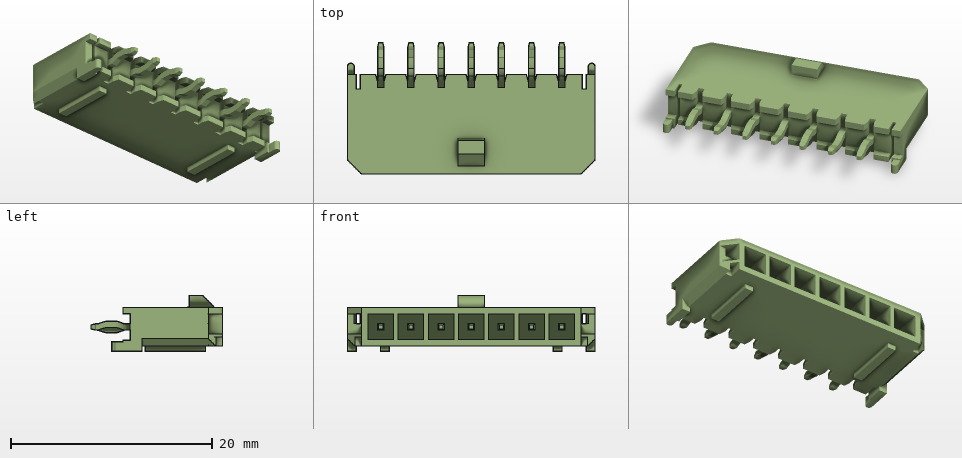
import cadquery as cq


circuit_count = 7
pitch = 3.0
circuit_xs = [(i - (circuit_count - 1) / 2) * pitch for i in range(circuit_count)]

width = 24.65
height = 3.86
half_width = width / 2
wall_rear_y = 9.2
lip_rear_y = 9.92
top_wall = 0.67
bottom_lip = 0.6
cavity_size = 2.55
cavity_depth = 7.8
cavity_center_z = height - top_wall - cavity_size / 2

corner_cut = 1.41
corner_pocket_floor = 1.2
corner_notch_inset = 0.74
corner_notch_height = 0.89
edge_chamfer = 0.74

tunnel_inset = 0.68
tunnel_width = corner_cut - tunnel_inset
tunnel_floor = 2.22
tunnel_height = height - top_wall - tunnel_floor
foot_width = 0.91
rear_slot_width = 0.36
rear_slot_front_y = 8.47

foot_drop = 0.52
foot_front_y = 8.0
post_width = 0.7
post_top_z = 0.45
post_tip_y = 11.03
rail_inset = 3.28
rail_width = 0.91
rail_front_y = 1.69
rail_length = 6.0

latch_width = 2.67
latch_height = 1.19
latch_front_y = 0.79
latch_crest_y = 1.98
latch_rear_y = 3.32
latch_toe_y = 3.53
latch_toe_height = 0.06

pin_size = 0.64
pin_z = 1.9
pin_front_y = 2.0
pin_rear_y = 13.08
pin_tip_size = 0.42
front_tip_length = 0.3
rear_tip_length = 0.46
bow = 0.27
bow_start_y = 9.75
bow_crest_start_y = 10.52
bow_crest_end_y = 11.57
bow_end_y = 12.46

pin_slot_front_y = 8.61
flare_front_y = 9.25
flare_width = 1.03


def box(x, y, z, dx, dy, dz):
    """Box from its lowest corner and its size."""
    return cq.Workplane("XY").box(dx, dy, dz, centered=False).translate((x, y, z))


def both_sides(left_shape):
    """The left-hand shape with its mirror image on the right."""
    return left_shape.union(left_shape.mirror("YZ"))


def side_extrusion(points, length):
    """(Y, Z) outline extruded along X, centred on X = 0."""
    return cq.Workplane("YZ").polyline(points).close().extrude(length / 2, both=True)


def shell():
    profile = [
        (0, 0),
        (lip_rear_y, 0),
        (lip_rear_y, bottom_lip),
        (wall_rear_y, bottom_lip),
        (wall_rear_y, height - top_wall),
        (lip_rear_y, height - top_wall),
        (lip_rear_y, height),
        (0, height),
    ]
    return side_extrusion(profile, width)


def corner_cuts():
    """Bevelled corners with a square pocket behind each and a notch open to the underside."""
    corner = (
        cq.Workplane("XY")
        .polyline([(-half_width, 0), (-half_width + corner_cut, 0), (-half_width, corner_cut)])
        .close()
        .extrude(height)
    )
    pocket_height = height - top_wall - corner_pocket_floor
    pocket = box(-half_width, 0, corner_pocket_floor, corner_cut, corner_cut, pocket_height)
    notch_width = corner_cut - corner_notch_inset
    notch = box(-half_width + corner_notch_inset, 0, 0, notch_width, corner_cut, corner_notch_height)
    return both_sides(corner.union(pocket).union(notch))


def edge_chamfers():
    wedge = (
        cq.Workplane("XZ")
        .polyline([(-half_width, 0), (-half_width + edge_chamfer, 0), (-half_width, edge_chamfer)])
        .close()
        .extrude(-foot_front_y)
    )
    return both_sides(wedge)


def tunnels_and_slots():
    tunnel = box(-half_width + tunnel_inset, 0, tunnel_floor, tunnel_width, rear_slot_front_y, tunnel_height)
    slot_length = lip_rear_y - rear_slot_front_y
    slot = box(-half_width + foot_width, rear_slot_front_y, 0, rear_slot_width, slot_length, height)
    return both_sides(tunnel.union(slot))


def feet():
    foot = box(-half_width, foot_front_y, -foot_drop, foot_width, lip_rear_y - foot_front_y, foot_drop)
    radius = post_width / 2
    post = (
        cq.Workplane("XY", origin=(-half_width, 0, -foot_drop))
        .moveTo(0, foot_front_y)
        .lineTo(post_width, foot_front_y)
        .lineTo(post_width, post_tip_y - radius)
        .threePointArc((radius, post_tip_y), (0, post_tip_y - radius))
        .close()
        .extrude(foot_drop + post_top_z)
    )
    return both_sides(foot.union(post))


def rails():
    rail = box(-half_width + rail_inset, rail_front_y, -foot_drop, rail_width, rail_length, foot_drop)
    return both_sides(rail)


def latch():
    profile = [
        (latch_front_y, height),
        (latch_crest_y, height + latch_height),
        (latch_rear_y, height + latch_height),
        (latch_rear_y, height + latch_toe_height),
        (latch_toe_y, height),
    ]
    return side_extrusion(profile, latch_width)


def circuit_cuts(x):
    """Mating cavity, pin hole and flared rear slot of one circuit."""
    cavity = box(
        x - cavity_size / 2, 0, cavity_center_z - cavity_size / 2, cavity_size, cavity_depth, cavity_size
    )
    hole = box(x - pin_size / 2, 0, pin_z - pin_size / 2, pin_size, lip_rear_y, pin_size)
    outline = [
        (x - pin_size / 2, pin_slot_front_y),
        (x + pin_size / 2, pin_slot_front_y),
        (x + pin_size / 2, flare_front_y),
        (x + flare_width / 2, lip_rear_y),
        (x - flare_width / 2, lip_rear_y),
        (x - pin_size / 2, flare_front_y),
    ]
    slot = cq.Workplane("XY").polyline(outline).close().extrude(height)
    return cavity.union(hole).union(slot)


def make_housing():
    body = shell().cut(corner_cuts()).cut(edge_chamfers()).cut(tunnels_and_slots())
    body = body.union(feet()).union(rails()).union(latch())
    for x in circuit_xs:
        body = body.cut(circuit_cuts(x))
    return body


def pin_tip(base_y, end_y):
    """Square taper from full pin size at base_y to the blunt end at end_y."""
    return (
        cq.Workplane("XZ", origin=(0, base_y, pin_z))
        .rect(pin_size, pin_size)
        .workplane(offset=base_y - end_y)
        .rect(pin_tip_size, pin_tip_size)
        .loft(ruled=True)
    )


def make_pin(x, bow_direction):
    """Square pin whose tail bows up (+1) or down (-1)."""
    front_base_y = pin_front_y + front_tip_length
    rear_base_y = pin_rear_y - rear_tip_length
    bowed_z = pin_z + bow_direction * bow
    center_line = [
        (front_base_y, pin_z),
        (bow_start_y, pin_z),
        (bow_crest_start_y, bowed_z),
        (bow_crest_end_y, bowed_z),
        (bow_end_y, pin_z),
        (rear_base_y, pin_z),
    ]
    lower_edge = [(y, z - pin_size / 2) for y, z in center_line]
    upper_edge = [(y, z + pin_size / 2) for y, z in center_line]
    shank = side_extrusion(lower_edge + upper_edge[::-1], pin_size)
    pin = shank.union(pin_tip(front_base_y, pin_front_y)).union(pin_tip(rear_base_y, pin_rear_y))
    return pin.translate((x, 0, 0))


housing = make_housing()
pins = [make_pin(x, (-1) ** i) for i, x in enumerate(circuit_xs)]

result = cq.Compound.makeCompound([housing.solids().val(), *[pin.solids().val() for pin in pins]])